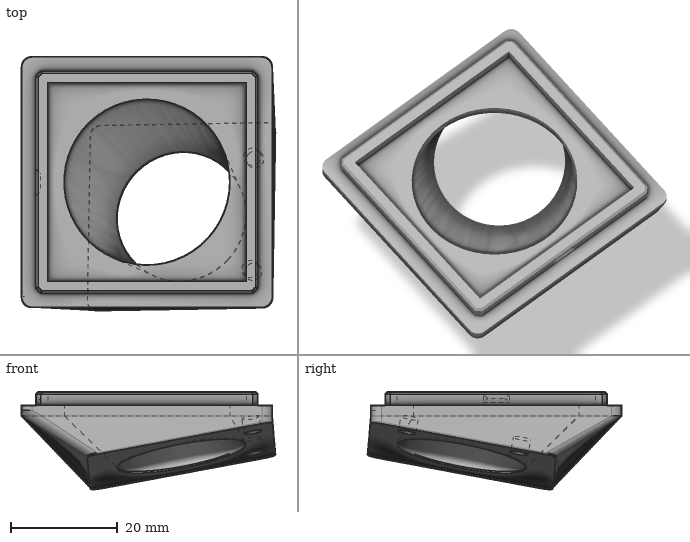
import cadquery as cq

plate_side = 46.9
plate_thickness = 1.95
corner_radius = 1.95
wide_corner_radius = 3.75
wide_corner_height = 1.05

rim_side = 41.55
rim_height = 2.5
rim_corner_chamfer = 0.95
rim_top_chamfer = 0.45
recess_side = 37.15

outlet_side = 35.25
outlet_offset = 6.45
outlet_drop = 7.55
outlet_land = 0.35
outlet_tilt = 15

inlet_diameter = 31.0
outlet_diameter = 24.53

screw_diameter = 3.3
screw_depth = 2.85
screw_from_centre = 13.8
screw_spacing = 21.4

notch_width = 4.85
notch_height = 1.55
notch_depth = notch_height / 2
notch_centre_z = plate_thickness + 1.35


def rounded_square(side, near_radius=corner_radius):
    """Square outline on the XY plane whose corner at -X, -Y has its own radius."""
    half = side / 2
    straight = half - corner_radius
    near_straight = half - near_radius
    return (
        cq.Workplane("XY")
        .moveTo(-near_straight, -half)
        .lineTo(straight, -half)
        .radiusArc((half, -straight), -corner_radius)
        .lineTo(half, straight)
        .radiusArc((straight, half), -corner_radius)
        .lineTo(-straight, half)
        .radiusArc((-half, straight), -corner_radius)
        .lineTo(-half, -near_straight)
        .radiusArc((-near_straight, -half), -near_radius)
        .close()
    )


def to_outlet(shape):
    """Move a shape from the XY plane at the origin onto the tilted outlet face."""
    tilted = shape.rotate(cq.Vector(0, 0, 0), cq.Vector(1, 1, 0), -outlet_tilt)
    return tilted.translate(cq.Vector(outlet_offset, -outlet_offset, -outlet_drop))


def circle_wire(diameter, height=0):
    return cq.Wire.makeCircle(diameter / 2, cq.Vector(0, 0, height), cq.Vector(0, 0, 1))


def ruled_loft(lower_wire, upper_wire):
    return cq.Solid.makeLoft([lower_wire, upper_wire], True)


def make_plate_and_rim():
    plain_outline = rounded_square(plate_side).wire().val().translate(cq.Vector(0, 0, wide_corner_height))
    wide_outline = rounded_square(plate_side, wide_corner_radius).wire().val()
    lower_plate = ruled_loft(wide_outline, plain_outline)
    upper_plate = rounded_square(plate_side).extrude(plate_thickness - wide_corner_height)
    upper_plate = upper_plate.translate((0, 0, wide_corner_height))
    plate = upper_plate.union(cq.Workplane(lower_plate))
    rim = (
        cq.Workplane("XY", origin=(0, 0, plate_thickness))
        .rect(rim_side, rim_side)
        .extrude(rim_height)
        .edges("|Z")
        .chamfer(rim_corner_chamfer)
        .faces(">Z")
        .chamfer(rim_top_chamfer)
    )
    recess = (
        cq.Workplane("XY", origin=(0, 0, plate_thickness))
        .rect(recess_side, recess_side)
        .extrude(rim_height)
    )
    return plate.union(rim.cut(recess))


def make_funnel():
    plate_outline = rounded_square(plate_side, wide_corner_radius).wire().val()
    outlet_outline = rounded_square(outlet_side).wire().val()
    land = rounded_square(outlet_side).extrude(outlet_land)
    land_top = outlet_outline.translate(cq.Vector(0, 0, outlet_land))
    taper = ruled_loft(to_outlet(land_top), plate_outline)
    return cq.Workplane(taper).union(cq.Workplane(to_outlet(land.val())))


def make_passage():
    inlet = cq.Workplane("XY").circle(inlet_diameter / 2).extrude(plate_thickness)
    land = cq.Workplane("XY").circle(outlet_diameter / 2).extrude(outlet_land)
    land_top = circle_wire(outlet_diameter, outlet_land)
    taper = ruled_loft(to_outlet(land_top), circle_wire(inlet_diameter))
    return inlet.union(cq.Workplane(taper)).union(cq.Workplane(to_outlet(land.val())))


def make_screw_holes():
    holes = (
        cq.Workplane("XY")
        .pushPoints([(screw_from_centre, side * screw_spacing / 2) for side in (-1, 1)])
        .circle(screw_diameter / 2)
        .extrude(screw_depth)
    )
    return cq.Workplane(to_outlet(holes.val()))


def make_notch():
    outer_x = -rim_side / 2
    inner_x = outer_x + notch_depth
    half_width = notch_width / 2
    half_height = notch_height / 2
    wedge = (
        cq.Workplane("XZ", origin=(0, half_width, notch_centre_z))
        .moveTo(outer_x, -half_height)
        .lineTo(inner_x, 0)
        .lineTo(outer_x, half_height)
        .close()
        .extrude(notch_width)
    )
    sloping_ends = (
        cq.Workplane("XY", origin=(0, 0, notch_centre_z))
        .moveTo(outer_x, -half_width)
        .lineTo(inner_x, notch_depth - half_width)
        .lineTo(inner_x, half_width - notch_depth)
        .lineTo(outer_x, half_width)
        .close()
        .extrude(half_height, both=True)
    )
    return wedge.intersect(sloping_ends)


body = make_plate_and_rim().union(make_funnel())
result = body.cut(make_passage()).cut(make_screw_holes()).cut(make_notch())